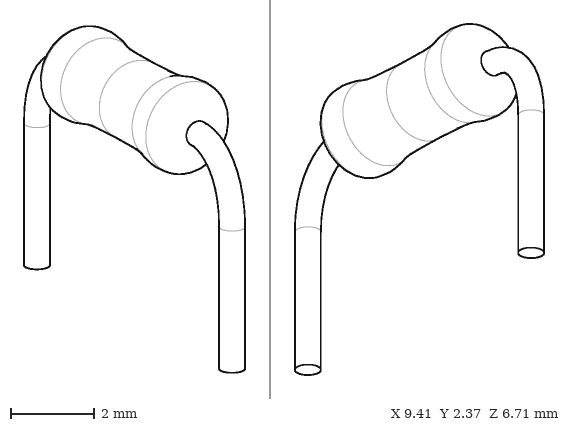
import cadquery as cq

OVERALL_LENGTH = 9.41
OVERALL_HEIGHT = 6.71
LEAD_DIAMETER = 0.63
BEND_DROP = 1.9
BEND_RISE_PULL = 1.25
BEND_RUN_PULL = 0.79
LEAD_RADIUS = LEAD_DIAMETER / 2

BODY_LENGTH = 5.665
BULGE_DIAMETER = 2.37
WAIST_RADIUS = 1.01
CAP_SEAM_X = 2.34
CAP_SEAM_RADIUS = 1.17
CAP_SHOULDER_X = 2.635
CAP_SHOULDER_RADIUS = 1.11
BULGE_TOP_X = 2.1
NECK_X = 1.61
NECK_RADIUS = 1.09
WAIST_CONTROL_X = 1.33

half_body_length = BODY_LENGTH / 2
bulge_radius = BULGE_DIAMETER / 2
lead_x = OVERALL_LENGTH / 2 - LEAD_RADIUS
lead_bottom_z = bulge_radius - OVERALL_HEIGHT


def make_body():
    """Turn one half of the bone profile around the X axis and mirror it to the other half."""
    cap_end = (half_body_length, LEAD_RADIUS)
    cap_shoulder = (CAP_SHOULDER_X, CAP_SHOULDER_RADIUS)
    cap_seam = (CAP_SEAM_X, CAP_SEAM_RADIUS)
    bulge_top = (BULGE_TOP_X, bulge_radius)
    neck = (NECK_X, NECK_RADIUS)
    waist_control = (WAIST_CONTROL_X, WAIST_RADIUS)
    waist = (0, WAIST_RADIUS)

    cap_direction = (CAP_SEAM_X - CAP_SHOULDER_X, CAP_SEAM_RADIUS - CAP_SHOULDER_RADIUS)
    neck_direction = (WAIST_CONTROL_X - NECK_X, WAIST_RADIUS - NECK_RADIUS)

    half = (
        cq.Workplane("XZ")
        .moveTo(half_body_length, 0)
        .lineTo(*cap_end)
        .bezier([cap_end, cap_shoulder, cap_seam])
        .spline([cap_seam, bulge_top, neck], tangents=[cap_direction, neck_direction])
        .bezier([neck, waist_control, waist])
        .lineTo(0, 0)
        .close()
        .revolve(360, (0, 0, 0), (1, 0, 0))
    )
    return half.union(half.mirror("YZ"))


def make_lead(side):
    """Sweep a round wire up from its foot and over to the body's end face; side is -1 or +1."""
    leg_x = side * lead_x
    end_face_x = side * half_body_length
    path = (
        cq.Workplane("XZ")
        .moveTo(leg_x, lead_bottom_z)
        .lineTo(leg_x, -BEND_DROP)
        .bezier([
            (leg_x, -BEND_DROP),
            (leg_x, -BEND_DROP + BEND_RISE_PULL),
            (end_face_x + side * BEND_RUN_PULL, 0),
            (end_face_x, 0),
        ])
    )
    foot = cq.Workplane("XY", origin=(leg_x, 0, lead_bottom_z)).circle(LEAD_RADIUS)
    return foot.sweep(path)


body = make_body()
leads = [make_lead(side) for side in (-1, 1)]

result = cq.Compound.makeCompound([body.val(), *[lead.val() for lead in leads]])